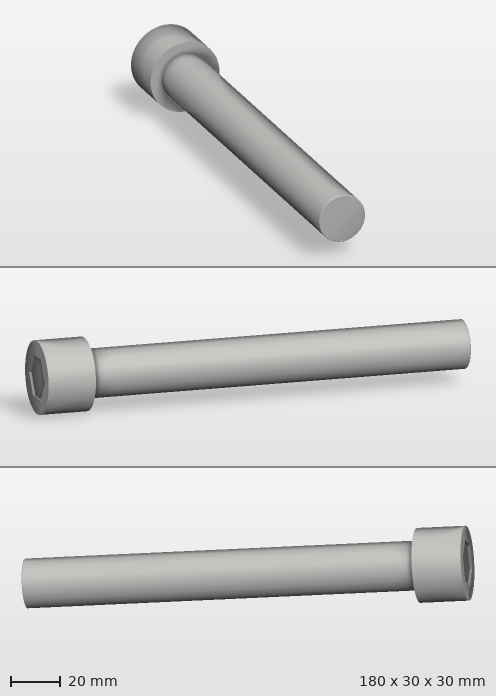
import cadquery as cq

total_length = 180.0
head_diameter = 30.0
shank_diameter = 20.0
head_length = shank_diameter
socket_across_flats = 17.0
socket_depth = 1.0
tip_chamfer = 0.2

head_face_x = -total_length / 2
socket_across_corners = socket_across_flats / (3 ** 0.5 / 2)


def plane_at(x):
    """Cross-section plane at x, with local axes along Y and Z."""
    return cq.Workplane("YZ", origin=(x, 0, 0))


head = plane_at(head_face_x).circle(head_diameter / 2).extrude(head_length)

shank = (
    plane_at(head_face_x + head_length)
    .circle(shank_diameter / 2)
    .extrude(total_length - head_length)
    .faces(">X")
    .chamfer(tip_chamfer)
)

socket = plane_at(head_face_x).polygon(6, socket_across_corners).extrude(socket_depth)

result = head.union(shank).cut(socket)